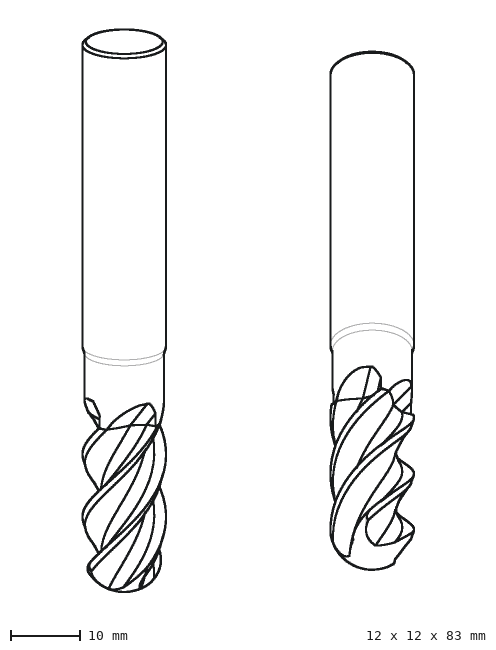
import cadquery as cq
import math

TOTAL_LENGTH = 83.0
TOOL_DIAMETER = 12.0
TOOL_RADIUS = TOOL_DIAMETER / 2
NOSE_RADIUS = 6.1
SHANK_BOTTOM = 36.85
STEP_HEIGHT = 1.0
NECK_RADIUS = 5.7
SHANK_CHAMFER = 0.5
HEAD_TOP = 26.0
RUNOUT_TOP = 29.7
RUNOUT_OUTWARD = 2.7
RUNOUT_SIDEWAYS = 0.5

TEETH = 4
TOOTH_ANGLE = 360 / TEETH
HELIX_PITCH = 2 * math.pi * TOOL_RADIUS
HEEL_ANGLE = 12.0
HEEL_RADIUS = 5.65
RAKE_FOOT_ANGLE = -4.0
RAKE_FOOT_RADIUS = 4.3
HOOK_MIDDLE_ANGLE = -20.0
HOOK_MIDDLE_RADIUS = 3.6
CORE_ANGLE = -37.0
CORE_RADIUS = 3.3
BACK_MIDDLE_ANGLE = -57.0
BACK_MIDDLE_RADIUS = 4.1
CLEAR_RADIUS = TOOL_DIAMETER


def polar(radius, degrees):
    angle = math.radians(degrees)
    return (radius * math.cos(angle), radius * math.sin(angle))


def add_flute(outline, edge):
    """Continue an outline from a heel along the flute to the cutting edge at the given angle."""
    return (
        outline.threePointArc(
            polar(BACK_MIDDLE_RADIUS, edge + BACK_MIDDLE_ANGLE),
            polar(CORE_RADIUS, edge + CORE_ANGLE),
        )
        .threePointArc(
            polar(HOOK_MIDDLE_RADIUS, edge + HOOK_MIDDLE_ANGLE),
            polar(RAKE_FOOT_RADIUS, edge + RAKE_FOOT_ANGLE),
        )
        .lineTo(*polar(TOOL_RADIUS, edge))
    )


def fluted_bar(length):
    """Right-hand twisted bar; a cutting edge lies on the +X axis at the bottom."""
    outline = cq.Workplane("XY").moveTo(*polar(TOOL_RADIUS, 0))
    for tooth in range(TEETH):
        edge = tooth * TOOTH_ANGLE
        outline = outline.lineTo(*polar(HEEL_RADIUS, edge + HEEL_ANGLE))
        outline = add_flute(outline, edge + TOOTH_ANGLE)
    return outline.close().twistExtrude(length, 360 * length / HELIX_PITCH)


def runout_cutter():
    """One flute beside the +X axis that drifts outward until it leaves the neck."""
    heel = HEEL_ANGLE - TOOTH_ANGLE
    outline = cq.Workplane("XY", origin=(0, 0, HEAD_TOP)).moveTo(*polar(HEEL_RADIUS, heel))
    outline = (
        add_flute(outline, 0)
        .lineTo(CLEAR_RADIUS, 0)
        .lineTo(CLEAR_RADIUS, -CLEAR_RADIUS)
        .lineTo(*polar(CLEAR_RADIUS, heel))
        .close()
    )
    section = cq.Face.makeFromWires(outline.wire().val())
    climb = cq.Vector(RUNOUT_OUTWARD, RUNOUT_SIDEWAYS, RUNOUT_TOP - HEAD_TOP)
    return cq.Workplane(cq.Solid.extrudeLinear(section, climb))


def ball_nose_envelope():
    """Round bar with a hemispherical lower end, just clear of the cutting edges."""
    nose = cq.Workplane("XY", origin=(0, 0, NOSE_RADIUS)).sphere(NOSE_RADIUS)
    bar = cq.Workplane("XY", origin=(0, 0, NOSE_RADIUS)).circle(NOSE_RADIUS).extrude(HEAD_TOP)
    return nose.union(bar).rotate((0, 0, 0), (0, 0, 1), TOOTH_ANGLE / 2)


def make_cutting_head():
    return fluted_bar(HEAD_TOP).intersect(ball_nose_envelope())


def make_shank():
    shank = (
        cq.Workplane("XZ")
        .moveTo(0, HEAD_TOP)
        .lineTo(NECK_RADIUS, HEAD_TOP)
        .lineTo(NECK_RADIUS, SHANK_BOTTOM - STEP_HEIGHT)
        .lineTo(TOOL_RADIUS, SHANK_BOTTOM)
        .lineTo(TOOL_RADIUS, TOTAL_LENGTH - SHANK_CHAMFER)
        .lineTo(TOOL_RADIUS - SHANK_CHAMFER, TOTAL_LENGTH)
        .lineTo(0, TOTAL_LENGTH)
        .close()
        .revolve(360, (0, 0, 0), (0, 1, 0))
    )
    cutter = runout_cutter()
    edge_at_head_top = 360 * HEAD_TOP / HELIX_PITCH
    for tooth in range(TEETH):
        angle = edge_at_head_top + tooth * TOOTH_ANGLE
        shank = shank.cut(cutter.rotate((0, 0, 0), (0, 0, 1), angle))
    return shank


cutting_head = make_cutting_head()
shank = make_shank()
result = cq.Compound.makeCompound([cutting_head.val(), shank.val()])